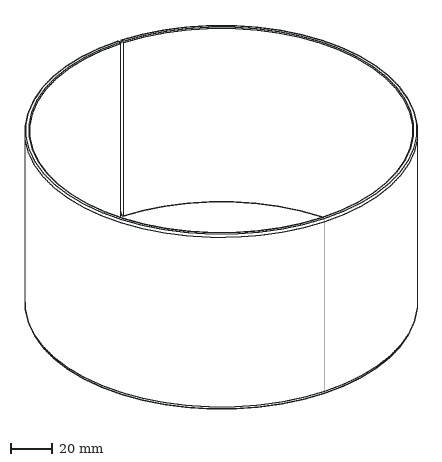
import cadquery as cq

outer_diameter = 190.0
height = 100.0
wall = 2.5
outer_chamfer_height = 1.5
outer_chamfer_depth = 0.5
inner_chamfer = 0.5
slit_width = 1.5

outer_radius = outer_diameter / 2
inner_radius = outer_radius - wall
outer_rim_radius = outer_radius - outer_chamfer_depth
inner_rim_radius = inner_radius + inner_chamfer


def make_ring():
    """Revolve the wall section, bevelled steeply outside and at 45 degrees inside."""
    section = [
        (inner_radius, inner_chamfer),
        (inner_rim_radius, 0),
        (outer_rim_radius, 0),
        (outer_radius, outer_chamfer_height),
        (outer_radius, height - outer_chamfer_height),
        (outer_rim_radius, height),
        (inner_rim_radius, height),
        (inner_radius, height - inner_chamfer),
    ]
    return cq.Workplane("XZ").polyline(section).close().revolve(360, (0, 0), (0, 1))


def make_slit():
    """Full-height cutter through the -X wall, with one face on the plane Y = 0."""
    cutter = cq.Workplane("XY").box(outer_diameter, slit_width, height, centered=(True, False, False))
    return cutter.translate((-outer_radius, 0, 0))


result = make_ring().cut(make_slit())